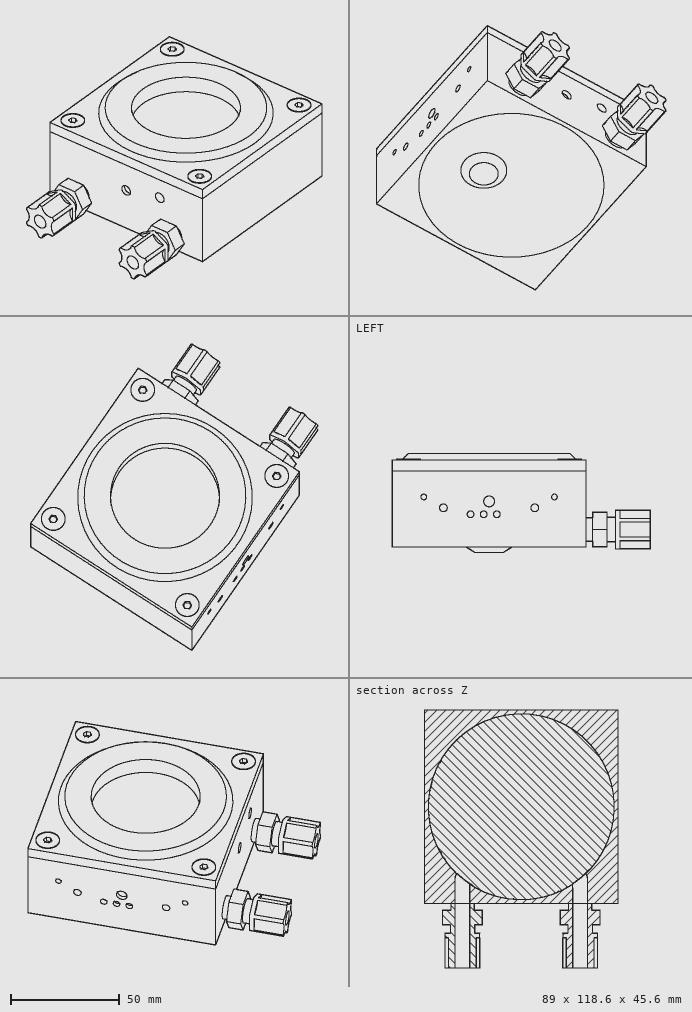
import cadquery as cq
import math

BLOCK_SIDE = 89.0
BLOCK_HEIGHT = 35.0
HALF_SIDE = BLOCK_SIDE / 2

CORE_RADIUS = 42.5
BOSS_X = -15.4
BOSS_TOP_RADIUS = 10.5
BOSS_BOTTOM_RADIUS = 6.6
BOSS_HEIGHT = 2.5

LID_THICKNESS = 5.1
RIM_HEIGHT = 3.0
RIM_BASE_RADIUS = 40.0
RIM_TOP_RADIUS = RIM_BASE_RADIUS - RIM_HEIGHT
WINDOW_RADIUS = 25.0
LID_TOP = BLOCK_HEIGHT + LID_THICKNESS

HEX_SIDES = 6
HALF_HEX_TURN = 180 / HEX_SIDES

SCREW_OFFSET = 37.0
SCREW_POSITIONS = [(x, y) for x in (-SCREW_OFFSET, SCREW_OFFSET) for y in (-SCREW_OFFSET, SCREW_OFFSET)]
HEAD_RADIUS = 5.5
HEAD_HEIGHT = 3.0
HEAD_PROTRUSION = 0.4
SHANK_RADIUS = 2.5
SHANK_LENGTH = 11.8
SOCKET_ACROSS_FLATS = 3.3
SOCKET_CORNER_RADIUS = SOCKET_ACROSS_FLATS / 2 / math.cos(math.pi / HEX_SIDES)
SOCKET_DEPTH = 2.4
HEAD_SEAT_Z = LID_TOP + HEAD_PROTRUSION - HEAD_HEIGHT

FITTING_X = 27.0
FITTING_Z = 8.0
STEM_RADIUS = 5.5
STEM_LENGTH = 3.0
HEX_LENGTH = 6.8
THREAD_RADIUS = 5.7
THREAD_LENGTH = 3.8
NUT_LENGTH = 16.0
NUT_COLLAR_LENGTH = 2.1
ACROSS_FLATS = 16.0
APOTHEM = ACROSS_FLATS / 2
HEX_CORNER_RADIUS = APOTHEM / math.cos(math.pi / HEX_SIDES)
NUT_CORNER_FILLET = 1.9
FLUTE_DEPTH = 1.5
FITTING_BORE_RADIUS = 3.3
FITTING_LENGTH = STEM_LENGTH + HEX_LENGTH + THREAD_LENGTH + NUT_LENGTH

LARGE_PORT_RADIUS = 2.5
CENTRE_PORT_Z = 21.0
OFFSET_PORT_X = 19.5
OFFSET_PORT_Z = 25.1
CENTRE_PORT = (0, CENTRE_PORT_Z, LARGE_PORT_RADIUS)
FRONT_PORTS = [CENTRE_PORT, (OFFSET_PORT_X, OFFSET_PORT_Z, LARGE_PORT_RADIUS)]
SIDE_PORT_Y = 21.0
SIDE_PORT_Z = 18.0
SIDE_PORT_RADIUS = 1.8
SMALL_PORT_Y = 2.5
SMALL_PORT_PITCH = 6.0
SMALL_PORT_Z = 15.0
SMALL_PORT_RADIUS = 1.5
SIDE_PORTS = (
    [CENTRE_PORT]
    + [(side * SIDE_PORT_Y, SIDE_PORT_Z, SIDE_PORT_RADIUS) for side in (-1, 1)]
    + [(SMALL_PORT_Y + i * SMALL_PORT_PITCH, SMALL_PORT_Z, SMALL_PORT_RADIUS) for i in (-1, 0, 1)]
)

DRILLED_Y = 30.0
DRILLED_Z = 23.0
DRILLED_RADIUS = 1.3
DRILLED_DEPTH = 5.9
DRILL_TIP_ANGLE = 118
DRILL_TIP_LENGTH = DRILLED_RADIUS / math.tan(math.radians(DRILL_TIP_ANGLE / 2))

UP = cq.Vector(0, 0, 1)
INTO_FRONT = cq.Vector(0, 1, 0)
INTO_SIDE = cq.Vector(1, 0, 0)


def cylinder(radius, length, start, direction):
    return cq.Workplane(cq.Solid.makeCylinder(radius, length, cq.Vector(*start), direction))


def core_cylinder():
    return cylinder(CORE_RADIUS, BLOCK_HEIGHT, (0, 0, 0), UP)


def make_core():
    boss = cq.Solid.makeCone(
        BOSS_TOP_RADIUS, BOSS_BOTTOM_RADIUS, BOSS_HEIGHT, cq.Vector(BOSS_X, 0, 0), -UP
    )
    return core_cylinder().union(cq.Workplane(boss))


def drilled_hole(y):
    hole = cylinder(DRILLED_RADIUS, DRILLED_DEPTH, (-HALF_SIDE, y, DRILLED_Z), INTO_SIDE)
    tip_start = cq.Vector(DRILLED_DEPTH - HALF_SIDE, y, DRILLED_Z)
    tip = cq.Solid.makeCone(DRILLED_RADIUS, 0, DRILL_TIP_LENGTH, tip_start, INTO_SIDE)
    return hole.union(cq.Workplane(tip))


def fitting_passage(x):
    """Round-ended passage from a fitting to the point where its axis meets the core."""
    core_y = -math.sqrt(CORE_RADIUS**2 - x**2)
    profile = (
        cq.Workplane()
        .moveTo(0, -HALF_SIDE)
        .lineTo(FITTING_BORE_RADIUS, -HALF_SIDE)
        .lineTo(FITTING_BORE_RADIUS, core_y)
        .radiusArc((0, core_y + FITTING_BORE_RADIUS), -FITTING_BORE_RADIUS)
        .close()
    )
    return profile.revolve(360, (0, 0, 0), (0, 1, 0)).translate((x, 0, FITTING_Z))


def screw_blank(x, y):
    """Outer form of one screw, which is also the form of its seat in the lid and housing."""
    shank = cylinder(SHANK_RADIUS, SHANK_LENGTH, (x, y, HEAD_SEAT_Z - SHANK_LENGTH), UP)
    head = cylinder(HEAD_RADIUS, HEAD_HEIGHT, (x, y, HEAD_SEAT_Z), UP)
    return head.union(shank)


def make_housing():
    housing = cq.Workplane().rect(BLOCK_SIDE, BLOCK_SIDE).extrude(BLOCK_HEIGHT).cut(core_cylinder())
    for x, z, radius in FRONT_PORTS:
        housing = housing.cut(cylinder(radius, HALF_SIDE, (x, -HALF_SIDE, z), INTO_FRONT))
    for y, z, radius in SIDE_PORTS:
        housing = housing.cut(cylinder(radius, HALF_SIDE, (-HALF_SIDE, y, z), INTO_SIDE))
    for side in (-1, 1):
        housing = housing.cut(drilled_hole(side * DRILLED_Y))
        housing = housing.cut(fitting_passage(side * FITTING_X))
    for x, y in SCREW_POSITIONS:
        housing = housing.cut(screw_blank(x, y))
    return housing


def make_lid():
    plate = (
        cq.Workplane().workplane(offset=BLOCK_HEIGHT)
        .rect(BLOCK_SIDE, BLOCK_SIDE).extrude(LID_THICKNESS)
    )
    rim = cq.Solid.makeCone(RIM_BASE_RADIUS, RIM_TOP_RADIUS, RIM_HEIGHT, cq.Vector(0, 0, LID_TOP), UP)
    window = cylinder(WINDOW_RADIUS, LID_THICKNESS + RIM_HEIGHT, (0, 0, BLOCK_HEIGHT), UP)
    lid = plate.union(cq.Workplane(rim)).cut(window)
    for x, y in SCREW_POSITIONS:
        lid = lid.cut(screw_blank(x, y))
    return lid


def make_screw(x, y):
    socket = (
        cq.Workplane().polygon(HEX_SIDES, 2 * SOCKET_CORNER_RADIUS).extrude(SOCKET_DEPTH)
        .rotate((0, 0, 0), (0, 0, 1), HALF_HEX_TURN)
        .translate((x, y, HEAD_SEAT_Z + HEAD_HEIGHT - SOCKET_DEPTH))
    )
    return screw_blank(x, y).cut(socket)


def fluted_nut():
    """Hexagonal nut standing on Z = 0, with rounded corners and a flute along each flat."""
    nut = (
        cq.Workplane().polygon(HEX_SIDES, 2 * HEX_CORNER_RADIUS).extrude(NUT_LENGTH)
        .edges("|Z").fillet(NUT_CORNER_FILLET)
    )
    half_flat = HEX_CORNER_RADIUS / 2 - NUT_CORNER_FILLET * math.tan(math.pi / HEX_SIDES)
    flute = (
        cq.Workplane().workplane(offset=NUT_COLLAR_LENGTH)
        .moveTo(-half_flat, APOTHEM)
        .threePointArc((0, APOTHEM - FLUTE_DEPTH), (half_flat, APOTHEM))
        .close().extrude(NUT_LENGTH - NUT_COLLAR_LENGTH)
    )
    for i in range(HEX_SIDES):
        nut = nut.cut(flute.rotate((0, 0, 0), (0, 0, 1), 2 * HALF_HEX_TURN * i))
    return nut


def make_fitting(x):
    """Built along +Z from the housing face, then turned to point along -Y."""
    hex_end = STEM_LENGTH + HEX_LENGTH
    nut_start = hex_end + THREAD_LENGTH
    stem = cq.Workplane().circle(STEM_RADIUS).extrude(STEM_LENGTH)
    hexagon = (
        cq.Workplane().workplane(offset=STEM_LENGTH)
        .polygon(HEX_SIDES, 2 * HEX_CORNER_RADIUS).extrude(HEX_LENGTH)
    )
    thread = cq.Workplane().workplane(offset=hex_end).circle(THREAD_RADIUS).extrude(THREAD_LENGTH)
    nut = fluted_nut().rotate((0, 0, 0), (0, 0, 1), HALF_HEX_TURN).translate((0, 0, nut_start))
    bore = cq.Workplane().circle(FITTING_BORE_RADIUS).extrude(FITTING_LENGTH)
    fitting = stem.union(hexagon).union(thread).union(nut).cut(bore)
    return fitting.rotate((0, 0, 0), (1, 0, 0), 90).translate((x, -HALF_SIDE, FITTING_Z))


housing = make_housing()
core = make_core()
lid = make_lid()
screws = [make_screw(x, y) for x, y in SCREW_POSITIONS]
fittings = [make_fitting(x) for x in (-FITTING_X, FITTING_X)]

result = cq.Compound.makeCompound(
    [housing.val(), core.val(), lid.val()]
    + [screw.val() for screw in screws]
    + [fitting.val() for fitting in fittings]
)